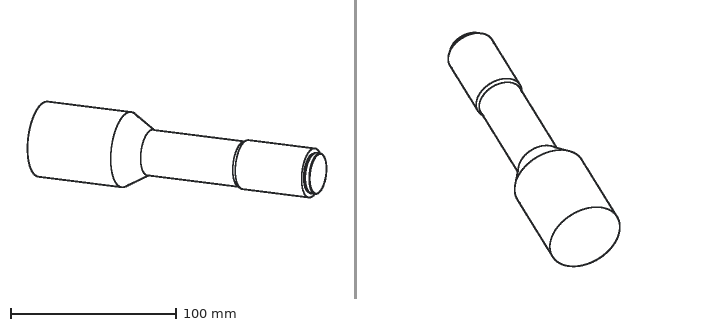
import cadquery as cq

total_length = 183.5
head_diameter = 46.0
head_radius = head_diameter / 2
shaft_radius = 14.0
grip_radius = 15.0
groove_radius = 12.0
tip_radius = 12.5

head_length = 55.6
cone_length = 15.8
shaft_length = 61.5
ramp_length = 2.2
grip_length = 44.2
groove_length = 1.1
tip_chamfer = 0.4

cone_start = head_length
shaft_start = cone_start + cone_length
ramp_start = shaft_start + shaft_length
grip_start = ramp_start + ramp_length
groove_start = grip_start + grip_length
tip_start = groove_start + groove_length

half_section = (
    cq.Workplane("XZ")
    .moveTo(0, 0)
    .lineTo(0, head_radius)
    .lineTo(cone_start, head_radius)
    .lineTo(shaft_start, shaft_radius)
    .lineTo(ramp_start, shaft_radius)
    .lineTo(grip_start, grip_radius)
    .lineTo(groove_start, grip_radius)
    .lineTo(groove_start, groove_radius)
    .lineTo(tip_start, groove_radius)
    .lineTo(tip_start, tip_radius)
    .lineTo(total_length - tip_chamfer, tip_radius)
    .lineTo(total_length, tip_radius - tip_chamfer)
    .lineTo(total_length, 0)
    .close()
)
result = half_section.revolve(360, (0, 0, 0), (1, 0, 0))